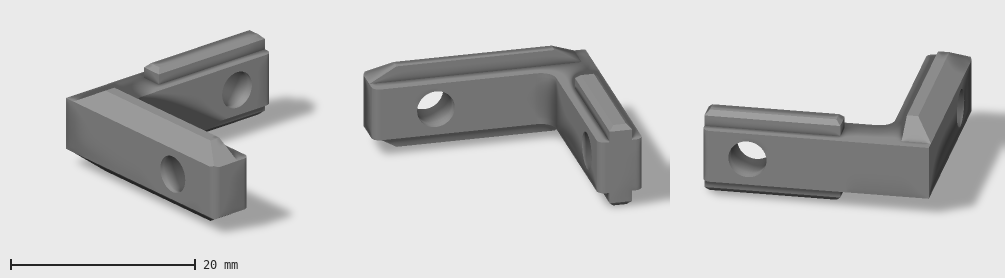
import cadquery as cq

leg_length = 25.0
leg_thickness = 5.0
body_height = 6.0
overall_height = 9.5
inner_fillet = 1.7
end_rounding = 0.85
hole_diameter = 4.2
x_leg_hole_position = 18.0
y_leg_hole_position = 20.0

rib_inset = 1.25
rib_width = 2.5
rib_length = 15.0
rib_chamfer = 0.52

ridge_inset = 1.25
ridge_width = 3.25
ridge_front_run = 2.0
ridge_end_run = 3.05

half_body = body_height / 2
ridge_height = (overall_height - body_height) / 2


def make_plate(height):
    """L-shaped plate centred on Z, rounded at the leg ends and inside the corner."""
    outline = [
        (0, 0),
        (leg_length, 0),
        (leg_length, leg_thickness),
        (leg_thickness, leg_thickness),
        (leg_thickness, leg_length),
        (0, leg_length),
    ]
    plate = cq.Workplane("XY").polyline(outline).close().extrude(height).translate((0, 0, -height / 2))
    plate = plate.faces(">X").edges("|Z").fillet(end_rounding)
    plate = plate.faces(">Y").edges("|Z").fillet(end_rounding)
    inner_corner = cq.selectors.NearestToPointSelector((leg_thickness, leg_thickness, 0))
    return plate.edges("|Z").edges(inner_corner).fillet(inner_fillet)


def make_rib():
    """Straight rib on the upper face, chamfered around its top."""
    return (
        cq.Workplane("XY", origin=(rib_inset, leg_length - rib_length, half_body))
        .rect(rib_width, rib_length, centered=False)
        .extrude(ridge_height)
        .faces(">Z")
        .chamfer(rib_chamfer)
    )


def make_ridge():
    """Ridge on the upper face, sloping at its front and both ends, upright at its back."""
    ridge_length = leg_length - ridge_inset
    front_profile = [(0, 0), (ridge_length, 0),
                     (ridge_length - ridge_end_run, ridge_height), (ridge_end_run, ridge_height)]
    side_profile = [(0, 0), (ridge_width, 0), (ridge_width, ridge_height), (ridge_front_run, ridge_height)]
    along_y = cq.Workplane("XZ").polyline(front_profile).close().extrude(-ridge_width)
    along_x = cq.Workplane("YZ").polyline(side_profile).close().extrude(ridge_length)
    return along_y.intersect(along_x).translate((ridge_inset, 0, half_body))


body = make_plate(body_height)
upper_features = make_rib().union(make_ridge().intersect(make_plate(overall_height)))
lower_features = upper_features.mirror("XY")
body = body.union(upper_features).union(lower_features)

hole_radius = hole_diameter / 2
x_leg_hole = cq.Workplane("XZ").center(x_leg_hole_position, 0).circle(hole_radius).extrude(-leg_thickness)
y_leg_hole = cq.Workplane("YZ").center(y_leg_hole_position, 0).circle(hole_radius).extrude(leg_thickness)

result = body.cut(x_leg_hole).cut(y_leg_hole)